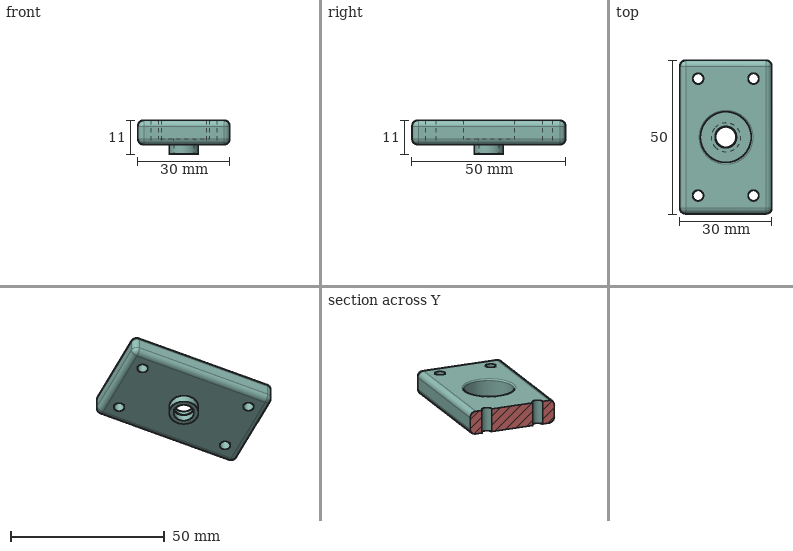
import cadquery as cq

plate_width = 30
plate_length = 50
plate_thickness = 8
edge_radius = 2

boss_diameter = 9.5
boss_height = 3

pocket_diameter = 16.5
pocket_depth = 6
rim_radius = 0.5

bore_diameter = 6.6
upper_bore_diameter = 7
upper_bore_depth = 2

hole_diameter = 3.4
hole_spacing_x = 18
hole_spacing_y = 38

pocket_floor = plate_thickness - pocket_depth


def cylinder(diameter, bottom, height):
    """Vertical cylinder on the central axis."""
    return cq.Workplane("XY").workplane(offset=bottom).circle(diameter / 2).extrude(height)


plate = (
    cq.Workplane("XY")
    .box(plate_width, plate_length, plate_thickness, centered=(True, True, False))
    .edges()
    .fillet(edge_radius)
)

boss = cylinder(boss_diameter, -boss_height, boss_height + pocket_floor)

pocket = cylinder(pocket_diameter, pocket_floor, pocket_depth)

bore = cylinder(bore_diameter, -boss_height, boss_height + pocket_floor)
upper_bore = cylinder(upper_bore_diameter, pocket_floor - upper_bore_depth, upper_bore_depth)

mounting_holes = (
    cq.Workplane("XY")
    .rect(hole_spacing_x, hole_spacing_y, forConstruction=True)
    .vertices()
    .circle(hole_diameter / 2)
    .extrude(plate_thickness)
)

body = plate.union(boss).cut(pocket)
body = body.faces(">Z").edges("%CIRCLE").fillet(rim_radius)

result = body.cut(bore).cut(upper_bore).cut(mounting_holes)